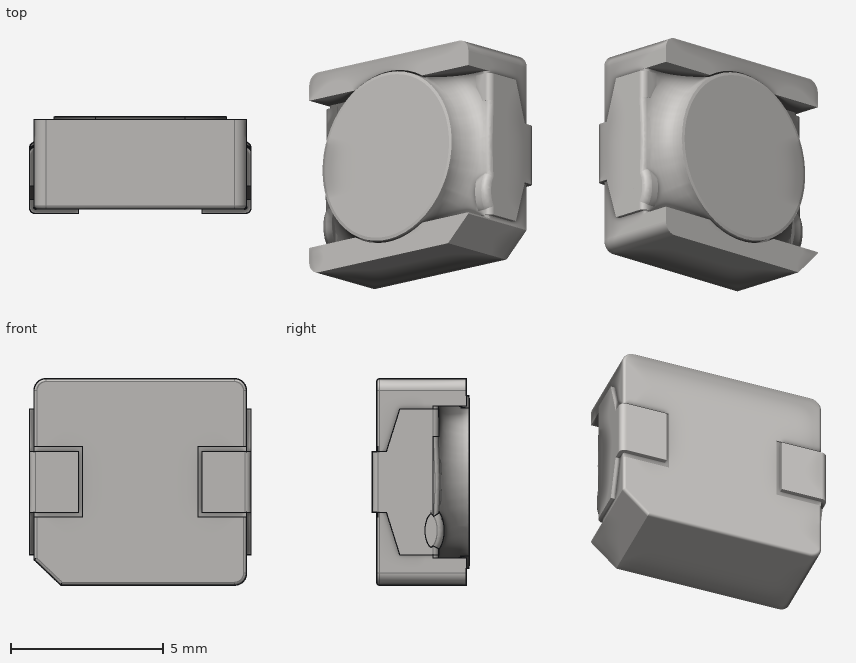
import cadquery as cq
import math


HOUSING_WIDTH = 7.0
HOUSING_HEIGHT = 6.8
HOUSING_FRONT = 0.15
HOUSING_BACK = 3.1
CORNER_RADIUS = 0.4
FRONT_EDGE_RADIUS = 0.1
MARKER_CUT_X = 0.89
MARKER_CUT_Z = 0.85
BORE_RADIUS = 2.9
BORE_FLOOR = 0.75
WINDOW_HALF_HEIGHT = 2.5
WINDOW_FLOOR = 2.0

CORE_RADIUS = 2.84
CORE_BACK = 3.2
CORE_BEVEL_RADIAL = 0.1
CORE_BEVEL_DEPTH = 0.02

STRIP_THICKNESS = 0.15
STRIP_BEND_RADIUS = 0.2
FOOT_HALF_HEIGHT = 1.0
FOOT_END_X = 2.03
WALL_HALF_HEIGHT = 2.4
TAPER_NARROW_Y = 0.47
TAPER_WIDE_Y = 0.91
ARM_LENGTH = 0.6
ARM_SLOT_TOP = 1.49

RECESS_FLOOR = 0.2
RECESS_HALF_HEIGHT = 1.16
RECESS_END_X = 1.9

SOLDER_CENTRE_Y = 1.94
SOLDER_CENTRE_Z = -1.6
SOLDER_HALF_Y = 0.43
SOLDER_HALF_Z = 0.78
SOLDER_EDGE_RADIUS = 0.23
SOLDER_DEPTH = 0.5

ADHESIVE_RADIUS = 1.0
ADHESIVE_EDGE_RADIUS = 0.17
ADHESIVE_TOP = CORE_BACK - CORE_BEVEL_DEPTH

SIDE_X = HOUSING_WIDTH / 2
OUTER_X = SIDE_X + STRIP_THICKNESS
ARM_BACK = WINDOW_FLOOR + STRIP_BEND_RADIUS
ARM_END_X = OUTER_X - ARM_LENGTH
BORE_CHORD_X = math.sqrt(BORE_RADIUS**2 - WINDOW_HALF_HEIGHT**2)


def block(x_range, y_range, z_range):
    """Box between two limits on each axis."""
    lows, highs = zip(x_range, y_range, z_range)
    size = [high - low for low, high in zip(lows, highs)]
    return cq.Workplane("XY").box(*size, centered=False).translate(lows)


def y_cylinder(radius, y_start, y_end):
    """Cylinder on the Y axis."""
    return cq.Workplane("XZ", origin=(0, y_start, 0)).circle(radius).extrude(y_start - y_end)


def both_sides(body):
    """The left-hand body and its mirror image on the right."""
    return [body, body.mirror("YZ")]


def make_foot_recess():
    return block(
        (-OUTER_X, -RECESS_END_X), (0, RECESS_FLOOR), (-RECESS_HALF_HEIGHT, RECESS_HALF_HEIGHT)
    )


def make_window(outer_x, back):
    """Space of the side window, out to a given distance from the axis and back to a given depth."""
    return block(
        (-outer_x, -BORE_CHORD_X),
        (WINDOW_FLOOR, back),
        (-WINDOW_HALF_HEIGHT, WINDOW_HALF_HEIGHT),
    )


def make_housing():
    body = block(
        (-SIDE_X, SIDE_X),
        (HOUSING_FRONT, HOUSING_BACK),
        (-HOUSING_HEIGHT / 2, HOUSING_HEIGHT / 2),
    )
    body = body.edges("|Y and (>X or >Z)").fillet(CORNER_RADIUS)
    marker = (
        cq.Workplane("XZ")
        .moveTo(-SIDE_X, -HOUSING_HEIGHT / 2)
        .line(MARKER_CUT_X, 0)
        .line(-MARKER_CUT_X, MARKER_CUT_Z)
        .close()
        .extrude(-HOUSING_BACK)
    )
    body = body.cut(marker).faces("<Y").edges().fillet(FRONT_EDGE_RADIUS)
    body = body.cut(y_cylinder(BORE_RADIUS, BORE_FLOOR, HOUSING_BACK))
    for opening in both_sides(make_window(OUTER_X, HOUSING_BACK)) + both_sides(make_foot_recess()):
        body = body.cut(opening)
    return body


def make_core():
    profile = (
        cq.Workplane("XY")
        .moveTo(0, BORE_FLOOR)
        .lineTo(CORE_RADIUS, BORE_FLOOR)
        .lineTo(CORE_RADIUS, CORE_BACK - CORE_BEVEL_DEPTH)
        .lineTo(CORE_RADIUS - CORE_BEVEL_RADIAL, CORE_BACK)
        .lineTo(0, CORE_BACK)
        .close()
    )
    return profile.revolve(360, (0, 0, 0), (0, 1, 0))


def make_solder():
    """Oval drop, flush in the terminal wall, whose rounded rim rises over the upper bend."""
    drop = (
        cq.Workplane("YZ", origin=(-OUTER_X, SOLDER_CENTRE_Y, SOLDER_CENTRE_Z))
        .ellipse(SOLDER_HALF_Y, SOLDER_HALF_Z)
        .extrude(SOLDER_DEPTH)
        .faces("<X")
        .edges()
        .fillet(SOLDER_EDGE_RADIUS)
    )
    housing_side = block(
        (-SIDE_X, 0), (0, WINDOW_FLOOR), (-HOUSING_HEIGHT / 2, HOUSING_HEIGHT / 2)
    )
    return drop.cut(housing_side)


def make_strip():
    """Bent strip of constant thickness, as tall as the wall."""
    inner_radius = STRIP_BEND_RADIUS - STRIP_THICKNESS
    bend_x = -OUTER_X + STRIP_BEND_RADIUS
    return (
        cq.Workplane("XY", origin=(0, 0, -WALL_HALF_HEIGHT))
        .moveTo(-FOOT_END_X, 0)
        .lineTo(bend_x, 0)
        .radiusArc((-OUTER_X, STRIP_BEND_RADIUS), STRIP_BEND_RADIUS)
        .lineTo(-OUTER_X, WINDOW_FLOOR)
        .radiusArc((bend_x, ARM_BACK), STRIP_BEND_RADIUS)
        .lineTo(-ARM_END_X, ARM_BACK)
        .lineTo(-ARM_END_X, ARM_BACK - STRIP_THICKNESS)
        .lineTo(bend_x, ARM_BACK - STRIP_THICKNESS)
        .radiusArc((-SIDE_X, WINDOW_FLOOR), -inner_radius)
        .lineTo(-SIDE_X, STRIP_BEND_RADIUS)
        .radiusArc((bend_x, STRIP_THICKNESS), -inner_radius)
        .lineTo(-FOOT_END_X, STRIP_THICKNESS)
        .close()
        .extrude(2 * WALL_HALF_HEIGHT)
    )


def make_arm_slot():
    """Opening in the terminal arm, from the solder up, that the adhesive fills."""
    return block(
        (-OUTER_X, -ARM_END_X), (WINDOW_FLOOR, CORE_BACK), (SOLDER_CENTRE_Z, ARM_SLOT_TOP)
    )


def make_terminal(solder):
    outline = (
        cq.Workplane("YZ", origin=(-OUTER_X, 0, 0))
        .moveTo(0, FOOT_HALF_HEIGHT)
        .lineTo(TAPER_NARROW_Y, FOOT_HALF_HEIGHT)
        .lineTo(TAPER_WIDE_Y, WALL_HALF_HEIGHT)
        .lineTo(ARM_BACK, WALL_HALF_HEIGHT)
        .lineTo(ARM_BACK, -WALL_HALF_HEIGHT)
        .lineTo(TAPER_WIDE_Y, -WALL_HALF_HEIGHT)
        .lineTo(TAPER_NARROW_Y, -FOOT_HALF_HEIGHT)
        .lineTo(0, -FOOT_HALF_HEIGHT)
        .close()
        .extrude(OUTER_X)
    )
    return make_strip().intersect(outline).cut(make_arm_slot()).cut(solder)


def make_adhesive(terminal, solder):
    """Ring with a concave back face, trimmed to the window and arm slot and fitted around its neighbours."""
    outer_radius = OUTER_X + WINDOW_HALF_HEIGHT
    low = ADHESIVE_TOP - ADHESIVE_RADIUS
    ring = (
        cq.Workplane("XY")
        .moveTo(CORE_RADIUS, WINDOW_FLOOR)
        .lineTo(CORE_RADIUS, ADHESIVE_TOP)
        .radiusArc((CORE_RADIUS + ADHESIVE_RADIUS, low), -ADHESIVE_RADIUS)
        .lineTo(outer_radius, low)
        .lineTo(outer_radius, WINDOW_FLOOR)
        .close()
        .revolve(360, (0, 0, 0), (0, 1, 0))
    )
    fill, slot_fill = [
        ring.intersect(space).faces("<X").edges(">Y").fillet(ADHESIVE_EDGE_RADIUS)
        for space in (make_window(SIDE_X, CORE_BACK), make_arm_slot())
    ]
    return fill.union(slot_fill).cut(terminal).cut(solder)


housing = make_housing()
core = make_core()
solder = make_solder()
terminal = make_terminal(solder)
adhesive = make_adhesive(terminal, solder)

solders = both_sides(solder)
terminals = both_sides(terminal)
adhesives = both_sides(adhesive)

result = cq.Compound.makeCompound(
    [
        housing.val(),
        core.val(),
        *[solid for body in terminals + solders + adhesives for solid in body.vals()],
    ]
)